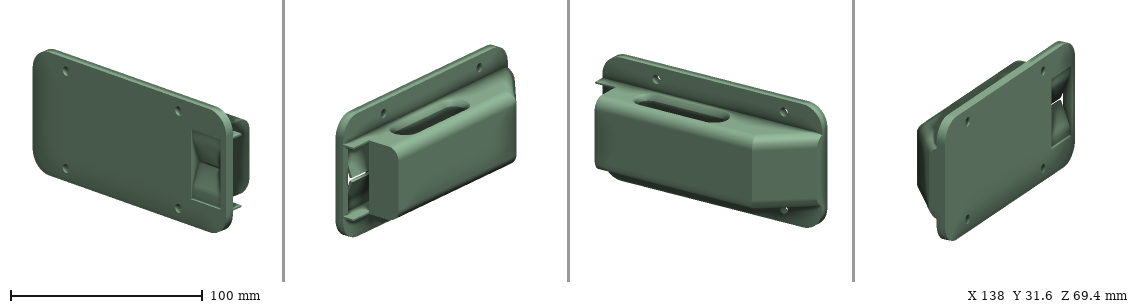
import cadquery as cq
import math

plate_length = 138.0
plate_height = 69.4
plate_thickness = 5.1
plate_corner_radius = 11.9

screw_diameter = 5.0
screw_x_positions = (23.9, 104.0)
screw_z = 27.5

housing_depth = 31.6
housing_width = 41.4
housing_end_x = 125.0
nose_depth = 9.7
slope_end_x = 26.1
housing_edge_radius = 6.6
step_depth = 11.9

slot_center_x = 80.5
slot_center_y = 16.8
slot_length = 53.0
slot_height = 11.9
slot_flare_width = 2.5
slot_flare_depth = 2.9

window_start_x = 112.9
window_end_x = 134.0
window_half_height = 19.7
flap_side_clearance = 0.4
flap_gap = 1.2
flap_thickness = 1.7
flap_recess = 0.8
flap_flat_end_z = 15.9
flap_bend_end_z = 12.0
flap_angle = 21.5


def box_between(x_range, y_range, z_range):
    """Box filling the given (start, end) ranges."""
    sizes = [end - start for start, end in (x_range, y_range, z_range)]
    corner = (x_range[0], y_range[0], z_range[0])
    return cq.Workplane("XY").box(*sizes, centered=False).translate(corner)


def make_plate():
    plate = box_between(
        (0, plate_length),
        (0, plate_thickness),
        (-plate_height / 2, plate_height / 2),
    )
    return plate.edges("|Y").fillet(plate_corner_radius)


def make_housing():
    """Wedge-nosed block with its sloped and back long edges rounded."""
    block = (
        cq.Workplane("XY", origin=(0, 0, -housing_width / 2))
        .moveTo(0, 0)
        .lineTo(0, nose_depth)
        .lineTo(slope_end_x, housing_depth)
        .lineTo(housing_end_x, housing_depth)
        .lineTo(housing_end_x, 0)
        .close()
        .extrude(housing_width)
    )
    behind_nose = cq.selectors.BoxSelector(
        (0, nose_depth, -housing_width),
        (plate_length, 2 * housing_depth, housing_width),
    )
    rear_edges = block.edges(behind_nose).edges("not |Z").edges("not |Y")
    block = rear_edges.fillet(housing_edge_radius)
    step = box_between(
        (housing_end_x, plate_length),
        (0, step_depth),
        (-housing_width / 2, housing_width / 2),
    )
    return block.union(step)


def make_slot_cutter():
    """Straight slot that flares outward at each side of the housing."""
    def slot_outline(z):
        return (
            cq.Workplane("XY", origin=(slot_center_x, slot_center_y, z))
            .slot2D(slot_length, slot_height)
        )

    half_width = housing_width / 2
    cutter = slot_outline(-half_width).extrude(housing_width)
    flare_angle = math.degrees(math.atan2(slot_flare_width, slot_flare_depth))
    flare = slot_outline(half_width - slot_flare_depth).extrude(slot_flare_depth, taper=-flare_angle)
    return cutter.union(flare).union(flare.mirror("XY"))


def make_screw_cutter():
    points = [(x, z) for x in screw_x_positions for z in (-screw_z, screw_z)]
    return cq.Workplane("XZ").pushPoints(points).circle(screw_diameter / 2).extrude(-plate_thickness)


def make_window_cutter():
    """Window through the plate and the channel behind it, open toward +X."""
    z_range = (-window_half_height, window_half_height)
    window = box_between((window_start_x, window_end_x), (0, plate_thickness), z_range)
    channel = box_between((window_start_x, plate_length), (plate_thickness, step_depth), z_range)
    return window.union(channel)


def make_flap():
    """Upper flap: concave rounded root, flat lip, smooth bend, then a slope toward the middle."""
    angle = math.radians(flap_angle)
    bend_radius = (flap_flat_end_z - flap_bend_end_z) / math.sin(angle)
    inner_radius = bend_radius - flap_thickness
    bend_center_y = flap_recess + bend_radius
    tip_z = flap_gap / 2

    def bend_point(radius, turn):
        return (bend_center_y - radius * math.cos(turn), flap_flat_end_z - radius * math.sin(turn))

    bend_end = bend_point(bend_radius, angle)
    inner_end = bend_point(inner_radius, angle)
    tip_y = bend_end[0] + (bend_end[1] - tip_z) * math.tan(angle)
    inner_tip = (tip_y + flap_thickness * math.cos(angle), tip_z + flap_thickness * math.sin(angle))

    root_center_z = window_half_height - flap_recess
    root_middle = (flap_recess * math.sqrt(0.5), root_center_z + flap_recess * math.sqrt(0.5))

    return (
        cq.Workplane("YZ", origin=(window_start_x + flap_side_clearance, 0, 0))
        .moveTo(0, window_half_height)
        .threePointArc(root_middle, (flap_recess, root_center_z))
        .lineTo(flap_recess, flap_flat_end_z)
        .threePointArc(bend_point(bend_radius, angle / 2), bend_end)
        .lineTo(tip_y, tip_z)
        .lineTo(*inner_tip)
        .lineTo(*inner_end)
        .threePointArc(bend_point(inner_radius, angle / 2), bend_point(inner_radius, 0))
        .lineTo(flap_recess + flap_thickness, window_half_height)
        .close()
        .extrude(window_end_x - window_start_x - 2 * flap_side_clearance)
    )


body = make_plate().union(make_housing())
body = body.cut(make_slot_cutter()).cut(make_screw_cutter()).cut(make_window_cutter())
upper_flap = make_flap()
result = body.union(upper_flap).union(upper_flap.mirror("XY"))